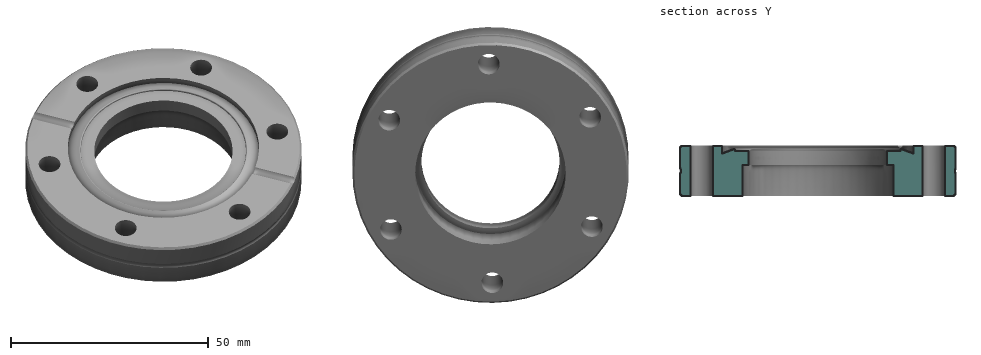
import cadquery as cq
import math

outer_radius = 69.9 / 2
thickness = 12.7
bore_radius = 35.0 / 2
tube_socket_radius = 38.1 / 2
tube_socket_depth = 7.8
rim_chamfer = 0.5

recess_radius = 48.4 / 2
recess_depth = 1.85
knife_radius = 42.0 / 2
knife_slope = 20.0
knife_inner_draft = 0.1
knife_tip_fillet = 0.2
seat_depth = 1.2

rim_groove_half_width = 0.7
rim_groove_depth = 0.2

bolt_count = 6
bolt_circle_radius = 58.7 / 2
bolt_hole_radius = 5.5 / 2

leak_groove_angle = 30.0
leak_groove_width = 2.4
leak_groove_depth = 0.6


def knife_tip(edge):
    return abs(edge.radius() - knife_radius) < 1e-6


def flange_body():
    """Revolve the half section about Z, then round the knife edge tip."""
    recess_floor = thickness - recess_depth
    knife_rise = (recess_radius - knife_radius) * math.tan(math.radians(knife_slope))
    seat_height = thickness - seat_depth
    mid_height = thickness / 2
    section = (
        cq.Workplane("XZ")
        .moveTo(tube_socket_radius, 0)
        .lineTo(outer_radius - rim_chamfer, 0)
        .lineTo(outer_radius, rim_chamfer)
        .lineTo(outer_radius, mid_height - rim_groove_half_width)
        .threePointArc(
            (outer_radius - rim_groove_depth, mid_height),
            (outer_radius, mid_height + rim_groove_half_width),
        )
        .lineTo(outer_radius, thickness - rim_chamfer)
        .lineTo(outer_radius - rim_chamfer, thickness)
        .lineTo(recess_radius, thickness)
        .lineTo(recess_radius, recess_floor)
        .lineTo(knife_radius, recess_floor + knife_rise)
        .lineTo(knife_radius - knife_inner_draft, seat_height)
        .lineTo(bore_radius, seat_height)
        .lineTo(bore_radius, tube_socket_depth)
        .lineTo(tube_socket_radius, tube_socket_depth)
        .close()
    )
    body = section.revolve(360, (0, 0, 0), (0, 1, 0))
    return body.edges("%CIRCLE").filter(knife_tip).fillet(knife_tip_fillet)


def bolt_holes():
    return (
        cq.Workplane("XY")
        .polarArray(bolt_circle_radius, 0, 360, bolt_count)
        .circle(bolt_hole_radius)
        .extrude(thickness)
    )


def leak_grooves():
    """Two shallow round-bottomed channels from the recess out to the rim."""
    half_width = leak_groove_width / 2
    radius = (half_width**2 + leak_groove_depth**2) / (2 * leak_groove_depth)
    axis_height = thickness - leak_groove_depth + radius
    return (
        cq.Workplane("YZ")
        .center(0, axis_height)
        .circle(radius)
        .extrude(outer_radius + leak_groove_width, both=True)
        .cut(cq.Workplane("XY").circle(recess_radius).extrude(2 * thickness))
        .rotate((0, 0, 0), (0, 0, 1), leak_groove_angle)
    )


result = flange_body().cut(bolt_holes()).cut(leak_grooves())